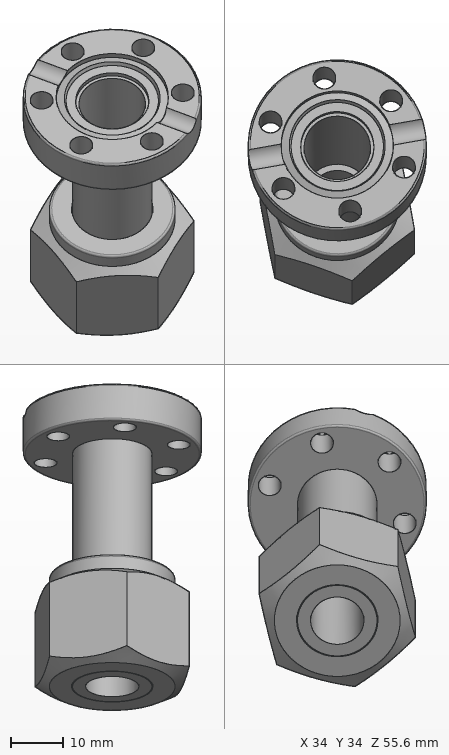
import cadquery as cq
import math

TOTAL_HEIGHT = 55.6

FLANGE_DIA = 34.0
FLANGE_THICKNESS = 7.55
FLANGE_FILLET = 0.4
FLANGE_BOTTOM = TOTAL_HEIGHT - FLANGE_THICKNESS

RECESS_DIA = 21.4
RECESS_DEPTH = 1.1
KNIFE_DIA = 18.3
KNIFE_DEPTH = 0.55
FACE_DIA = 17.6
FACE_DEPTH = 1.3
LIP_BORE_DIA = 13.95

BOLT_COUNT = 6
BOLT_HOLE_DIA = 4.35
BOLT_CIRCLE_DIA = 27.0
FIRST_BOLT_ANGLE = 90.0

GROOVE_WIDTH = 4.1
GROOVE_DEPTH = 1.0
GROOVE_RADIUS = (GROOVE_WIDTH ** 2 / 4 + GROOVE_DEPTH ** 2) / (2 * GROOVE_DEPTH)

TUBE_DIA = 15.2
TUBE_BORE_DIA = 12.7
TUBE_OUTLET_DIA = 10.2
TUBE_TOP = TOTAL_HEIGHT - 2.15

NUT_ACROSS_FLATS = 27.15
NUT_ACROSS_CORNERS = NUT_ACROSS_FLATS / math.cos(math.pi / 6)
NUT_HEX_HEIGHT = 19.45
NUT_HEIGHT = 22.4
NUT_COLLAR_DIA = 24.0
NUT_COLLAR_FILLET = 0.45
NUT_BORE_DIA = 15.5
NUT_CHAMFER_ANGLE = 30.0


def cylinder(diameter, bottom, top):
    return cq.Workplane("XY").workplane(offset=bottom).circle(diameter / 2).extrude(top - bottom)


def revolve_profile(points):
    """Revolve a closed (radius, height) outline about the Z axis."""
    return cq.Workplane("XZ").polyline(points).close().revolve(360, (0, 0), (0, 1))


def sealing_recess():
    """Space above the conical knife edge and the flat face inside it."""
    return revolve_profile([
        (0, TOTAL_HEIGHT),
        (RECESS_DIA / 2, TOTAL_HEIGHT),
        (RECESS_DIA / 2, TOTAL_HEIGHT - RECESS_DEPTH),
        (KNIFE_DIA / 2, TOTAL_HEIGHT - KNIFE_DEPTH),
        (FACE_DIA / 2, TOTAL_HEIGHT - FACE_DEPTH),
        (0, TOTAL_HEIGHT - FACE_DEPTH),
    ])


def leak_grooves():
    """Grooves along X on both sides, running from the recess to the rim."""
    groove_axis_height = TOTAL_HEIGHT - GROOVE_DEPTH + GROOVE_RADIUS
    bar = (
        cq.Workplane("YZ")
        .center(0, groove_axis_height)
        .circle(GROOVE_RADIUS)
        .extrude(FLANGE_DIA / 2, both=True)
    )
    return bar.cut(cylinder(RECESS_DIA, FLANGE_BOTTOM, groove_axis_height + GROOVE_RADIUS))


def bolt_holes():
    return (
        cq.Workplane("XY")
        .workplane(offset=FLANGE_BOTTOM)
        .polarArray(BOLT_CIRCLE_DIA / 2, FIRST_BOLT_ANGLE, 360, BOLT_COUNT)
        .circle(BOLT_HOLE_DIA / 2)
        .extrude(FLANGE_THICKNESS)
    )


def make_flange():
    body = cylinder(FLANGE_DIA, FLANGE_BOTTOM, TOTAL_HEIGHT).edges().fillet(FLANGE_FILLET)
    body = body.cut(sealing_recess())
    body = body.cut(leak_grooves())
    body = body.cut(bolt_holes())
    body = body.cut(cylinder(LIP_BORE_DIA, FLANGE_BOTTOM, TOTAL_HEIGHT))
    tube_socket = cylinder(TUBE_DIA, FLANGE_BOTTOM, TUBE_TOP)
    return body.cut(tube_socket)


def make_tube():
    """Tube seated in the flange, with a narrower bore where it passes through the nut."""
    body = cylinder(TUBE_DIA, 0, TUBE_TOP)
    body = body.cut(cylinder(TUBE_BORE_DIA, NUT_HEIGHT, TUBE_TOP))
    return body.cut(cylinder(TUBE_OUTLET_DIA, 0, NUT_HEIGHT))


def make_nut():
    """Hexagon with corners on the Y axis, conical ends and a round collar on top."""
    hexagon = (
        cq.Workplane("XY")
        .polygon(6, NUT_ACROSS_CORNERS)
        .extrude(NUT_HEX_HEIGHT)
        .rotate((0, 0, 0), (0, 0, 1), 90)
    )
    collar_radius = NUT_COLLAR_DIA / 2
    corner_radius = NUT_ACROSS_CORNERS / 2
    cone_height = (corner_radius - collar_radius) * math.tan(math.radians(NUT_CHAMFER_ANGLE))
    conical_ends = revolve_profile([
        (0, 0),
        (collar_radius, 0),
        (corner_radius, cone_height),
        (corner_radius, NUT_HEX_HEIGHT - cone_height),
        (collar_radius, NUT_HEX_HEIGHT),
        (0, NUT_HEX_HEIGHT),
    ])
    collar = cylinder(NUT_COLLAR_DIA, NUT_HEX_HEIGHT, NUT_HEIGHT)
    collar = collar.edges(">Z").fillet(NUT_COLLAR_FILLET)
    body = hexagon.intersect(conical_ends).union(collar)
    return body.cut(cylinder(NUT_BORE_DIA, 0, NUT_HEIGHT))


flange = make_flange()
tube = make_tube()
nut = make_nut()

result = cq.Compound.makeCompound([flange.val(), tube.val(), nut.val()])